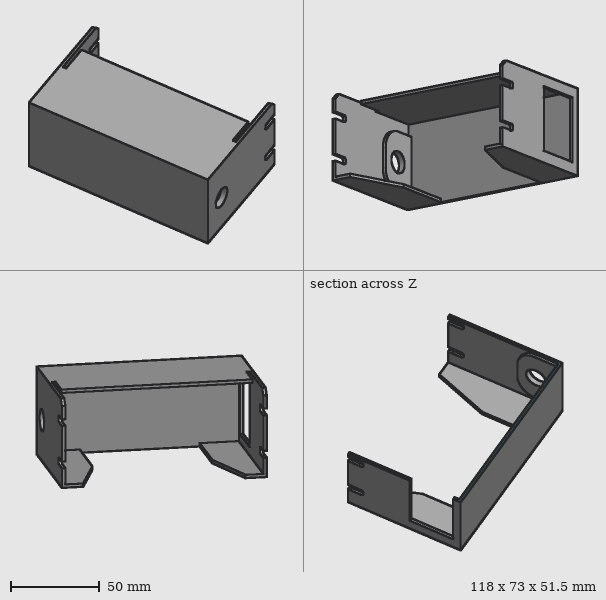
import cadquery as cq

width = 118.0
depth = 73.0
height = 51.5
sheet = 2.0

top_depth = 51.0
relief_start = 34.0
relief_width = 2.0

flange_width = 24.5
flange_rear_width = 12.2
taper_start = 38.3

corner_chamfer = 3.5
slot_width = 4.0
slot_length = 10.0
slot_corner_radius = 1.5
slot_heights = (13.4, 38.2)

window_front = 5.0
window_rear = 33.0
window_bottom = 7.0
window_top = 45.0

pad_thickness = sheet
pad_rear = 27.0
pad_height = 36.0
pad_corner_radius = 12.0
hole_diameter = 12.7
hole_y = 15.0
hole_z = 24.0

half_width = width / 2


def block(x_range, y_range, z_range):
    """Box spanning the given (low, high) ranges."""
    spans = (x_range, y_range, z_range)
    lengths = [high - low for low, high in spans]
    corner = tuple(low for low, high in spans)
    return cq.Workplane("XY").box(*lengths, centered=False).translate(corner)


def make_side_wall():
    """Left side wall with a chamfered upper rear corner and two open slots."""
    wall = block((-half_width, -half_width + sheet), (0, depth), (0, height))
    wall = wall.edges("|X and >Y and >Z").chamfer(corner_chamfer)
    for slot_z in slot_heights:
        slot = block(
            (-half_width, -half_width + sheet),
            (depth - slot_length, depth),
            (slot_z - slot_width / 2, slot_z + slot_width / 2),
        )
        wall = wall.cut(slot.edges("|X and <Y").fillet(slot_corner_radius))
    return wall


def make_flange():
    """Left bottom flange, tapered toward the rear."""
    outline = [
        (-half_width, 0),
        (-half_width + flange_width, 0),
        (-half_width + flange_width, taper_start),
        (-half_width + flange_rear_width, depth),
        (-half_width, depth),
    ]
    return cq.Workplane("XY").polyline(outline).close().extrude(sheet)


def make_relief():
    """Slit between the left wall and the rear part of the top plate."""
    wall_inside = -half_width + sheet
    return block(
        (wall_inside, wall_inside + relief_width),
        (relief_start, top_depth),
        (height - sheet, height),
    )


def make_window():
    """Rectangular opening through the left wall."""
    return block(
        (-half_width, -half_width + sheet),
        (window_front, window_rear),
        (window_bottom, window_top),
    )


def make_pad():
    """Pad on the inner face of the right wall, rounded at its rear corners."""
    wall_inside = half_width - sheet
    pad = block(
        (wall_inside - pad_thickness, wall_inside),
        (0, pad_rear),
        (hole_z - pad_height / 2, hole_z + pad_height / 2),
    )
    return pad.edges("|X and >Y").fillet(pad_corner_radius)


def make_hole():
    """Round hole through the right wall and its pad."""
    length = sheet + pad_thickness
    cylinder = cq.Workplane("YZ").center(hole_y, hole_z).circle(hole_diameter / 2).extrude(length)
    return cylinder.translate((half_width - length, 0, 0))


front_plate = block((-half_width, half_width), (0, sheet), (0, height))
top_plate = block((-half_width, half_width), (0, top_depth), (height - sheet, height))
body = front_plate.union(top_plate)

left_side = make_side_wall().union(make_flange())
body = body.union(left_side).union(left_side.mirror("YZ"))

relief = make_relief()
body = body.cut(relief).cut(relief.mirror("YZ"))

body = body.cut(make_window())
body = body.union(make_pad())
result = body.cut(make_hole())